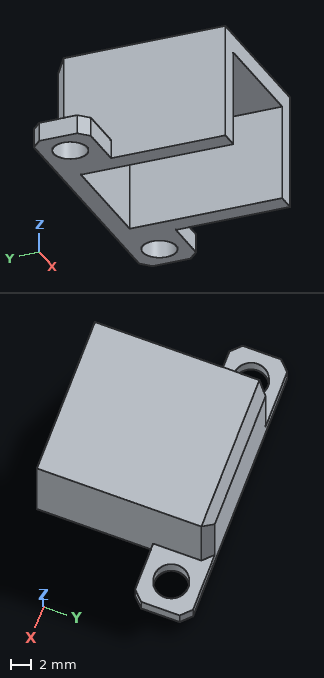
import cadquery as cq

total_width = 28.0
depth = 18.0
height = 12.0

wall = 2.0
ear_reach = 6.0
edge_chamfer = 1.0
cover_width = total_width - 2 * ear_reach

ear_depth = 6.0
ear_thickness = 2.0
hole_diameter = 3.5
hole_x = total_width / 2 - ear_reach / 2
hole_y = depth - ear_depth / 2


def block(width, length, tall, front_y=0):
    """Box centred on X, standing on Z = 0 and starting at front_y."""
    return cq.Workplane("XY").box(width, length, tall, centered=(True, False, False)).translate((0, front_y, 0))


def make_cover():
    """Solid cover with the top and side edges of its back face chamfered."""
    cover = block(cover_width, depth, height)
    return cover.faces(">Y").edges("not <Z").chamfer(edge_chamfer)


def make_ear_plate():
    """Plate spanning both ears, with clipped corners and screw holes."""
    plate = block(total_width, ear_depth, ear_thickness, depth - ear_depth)
    plate = plate.edges("|Z").chamfer(edge_chamfer)
    holes = (
        cq.Workplane("XY")
        .pushPoints([(-hole_x, hole_y), (hole_x, hole_y)])
        .circle(hole_diameter / 2)
        .extrude(ear_thickness)
    )
    return plate.cut(holes)


cavity = block(cover_width - 2 * wall, depth - wall, height - wall)

result = make_cover().union(make_ear_plate()).cut(cavity)